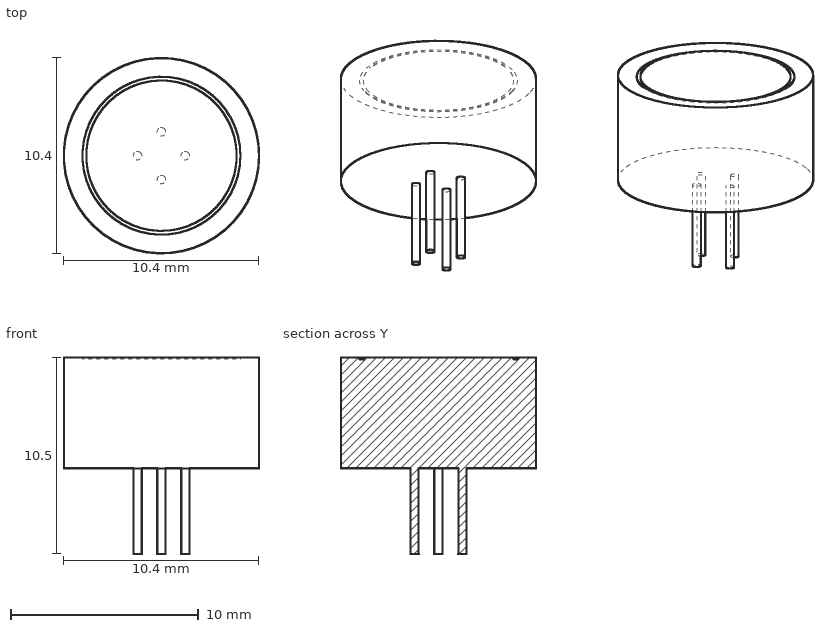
import cadquery as cq
import math

body_diameter = 10.41
overall_height = 10.48
pin_length = 4.56
body_height = overall_height - pin_length

pin_diameter = 0.45
pin_circle_radius = 1.27
pin_count = 4

groove_outer_diameter = 8.41
groove_inner_diameter = 8.01
groove_depth = 0.1
rim_radius = 0.092


def make_body():
    """Plain cylinder standing on Z = 0."""
    return cq.Workplane("XY").circle(body_diameter / 2).extrude(body_height)


def make_groove():
    """Groove section, flared by a convex quarter round at each rim, revolved about Z."""
    inner = groove_inner_diameter / 2
    outer = groove_outer_diameter / 2
    floor_z = body_height - groove_depth
    round_start_z = body_height - rim_radius
    arc_inset = rim_radius * (1 - math.sqrt(0.5))
    section = (
        cq.Workplane("XZ")
        .moveTo(inner - rim_radius, body_height)
        .threePointArc((inner - arc_inset, body_height - arc_inset), (inner, round_start_z))
        .lineTo(inner, floor_z)
        .lineTo(outer, floor_z)
        .lineTo(outer, round_start_z)
        .threePointArc((outer + arc_inset, body_height - arc_inset), (outer + rim_radius, body_height))
        .close()
    )
    return section.revolve(360, (0, 0, 0), (0, 1, 0))


def make_pins():
    """Round pins hanging below the body, one on each of +X, +Y, -X and -Y."""
    return (
        cq.Workplane("XY")
        .polarArray(pin_circle_radius, 0, 360, pin_count)
        .circle(pin_diameter / 2)
        .extrude(-pin_length)
    )


result = make_body().cut(make_groove()).union(make_pins())